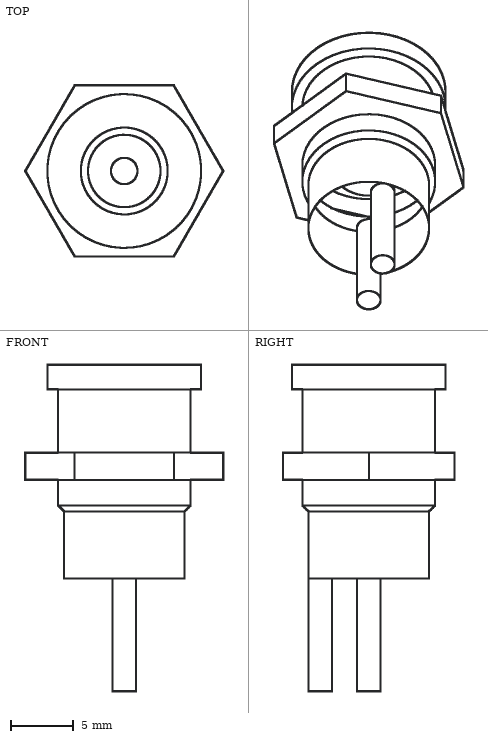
import cadquery as cq
import math

total_height = 26.1
flange_height = 1.98
flange_bottom = total_height - flange_height
nut_top = 19.08
nut_height = 2.2
thread_bottom = 14.85
barrel_top = 14.38
barrel_bottom = 9.0

flange_diameter = 12.3
thread_diameter = 10.62
barrel_diameter = 9.65
nut_across_flats = 13.7
nut_across_corners = nut_across_flats / math.cos(math.pi / 6)

bore_diameter = 5.8
bore_chamfer = 0.57
bore_depth = 9.5
contact_diameter = 2.11
contact_recess = 1.98

pin_diameter = 1.9
pin_offset = (barrel_diameter - pin_diameter) / 2


def cylinder(diameter, bottom, top, y=0):
    """Upright cylinder between two levels."""
    return cq.Workplane("XY", origin=(0, y, bottom)).circle(diameter / 2).extrude(top - bottom)


def make_body():
    """Turned shell: flange, threaded sleeve with tapered end, and rear barrel."""
    return (
        cq.Workplane("XZ")
        .moveTo(0, barrel_bottom)
        .lineTo(barrel_diameter / 2, barrel_bottom)
        .lineTo(barrel_diameter / 2, barrel_top)
        .lineTo(thread_diameter / 2, thread_bottom)
        .lineTo(thread_diameter / 2, flange_bottom)
        .lineTo(flange_diameter / 2, flange_bottom)
        .lineTo(flange_diameter / 2, total_height)
        .lineTo(0, total_height)
        .close()
        .revolve()
    )


def make_nut():
    """Hexagonal nut with corners along X."""
    return (
        cq.Workplane("XY", origin=(0, 0, nut_top - nut_height))
        .polygon(6, nut_across_corners)
        .extrude(nut_height)
    )


def make_bore():
    """Blind socket with a chamfered mouth."""
    radius = bore_diameter / 2
    return (
        cq.Workplane("XZ")
        .moveTo(0, total_height - bore_depth)
        .lineTo(radius, total_height - bore_depth)
        .lineTo(radius, total_height - bore_chamfer)
        .lineTo(radius + bore_chamfer, total_height)
        .lineTo(0, total_height)
        .close()
        .revolve()
    )


def make_contact():
    """Center contact with a hemispherical tip, rooted in the barrel."""
    radius = contact_diameter / 2
    tip_center = total_height - contact_recess - radius
    tip = cq.Workplane("XY", origin=(0, 0, tip_center)).sphere(radius)
    return cylinder(contact_diameter, barrel_top, tip_center).union(tip)


result = make_body().union(make_nut()).cut(make_bore()).union(make_contact())
for pin_y in (0, -pin_offset):
    result = result.union(cylinder(pin_diameter, 0, barrel_top, pin_y))